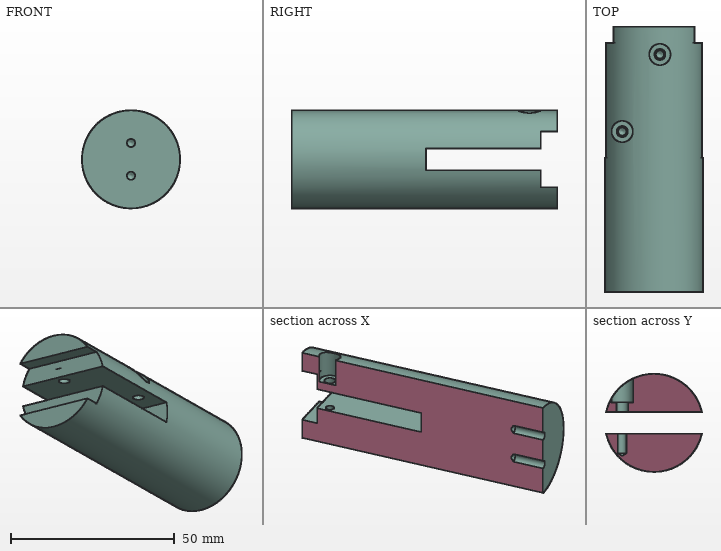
import cadquery as cq
import math

body_diameter = 30.0
body_length = 81.0
body_radius = body_diameter / 2

slot_height = 6.5
slot_depth = 40.0
tip_step_height = 17.0
tip_step_depth = 5.0

screw_positions = [(1.8, 8.5), (-9.7, 32.0)]
counterbore_diameter = 6.5
counterbore_floor = 6.25
clearance_diameter = 3.4
tap_diameter = 2.5
tap_depth = 6.0

mount_diameter = 2.5
mount_spacing = 10.0
mount_depth = 10.0

drill_tip_angle = 118.0


def make_body():
    """Solid round bar from the plain end at Y = 0 to the jaw tips."""
    profile = cq.Workplane("XZ").circle(body_radius)
    return profile.extrude(-body_length)


def tip_cut(height, depth):
    """Full-width rectangular cut, centred on the axis, from the jaw tips."""
    box = cq.Workplane("XY").box(body_diameter, depth, height)
    return box.translate((0, body_length - depth / 2, 0))


def drilled_hole(start, direction, diameter, depth):
    """Blind drilled hole with a conical tip beyond its full-diameter depth."""
    radius = diameter / 2
    tip_length = radius / math.tan(math.radians(drill_tip_angle / 2))
    origin = cq.Vector(*start)
    axis = cq.Vector(*direction)
    bore = cq.Solid.makeCylinder(radius, depth, origin, axis)
    tip = cq.Solid.makeCone(radius, 0, tip_length, origin + axis * depth, axis)
    return cq.Workplane(bore.fuse(tip))


def screw_cut(x, tip_distance):
    """Counterbored clearance hole in the upper jaw, tap hole in the lower."""
    y = body_length - tip_distance
    down = (0, 0, -1)
    counterbore = cq.Solid.makeCylinder(
        counterbore_diameter / 2,
        body_radius - counterbore_floor,
        cq.Vector(x, y, counterbore_floor),
    )
    clearance = cq.Solid.makeCylinder(
        clearance_diameter / 2,
        counterbore_floor,
        cq.Vector(x, y, 0),
    )
    tap = drilled_hole((x, y, 0), down, tap_diameter, slot_height / 2 + tap_depth)
    return tap.union(cq.Workplane(counterbore)).union(cq.Workplane(clearance))


result = make_body()
result = result.cut(tip_cut(slot_height, slot_depth))
result = result.cut(tip_cut(tip_step_height, tip_step_depth))

for x, tip_distance in screw_positions:
    result = result.cut(screw_cut(x, tip_distance))

for side in (-1, 1):
    start = (0, 0, side * mount_spacing / 2)
    result = result.cut(drilled_hole(start, (0, 1, 0), mount_diameter, mount_depth))